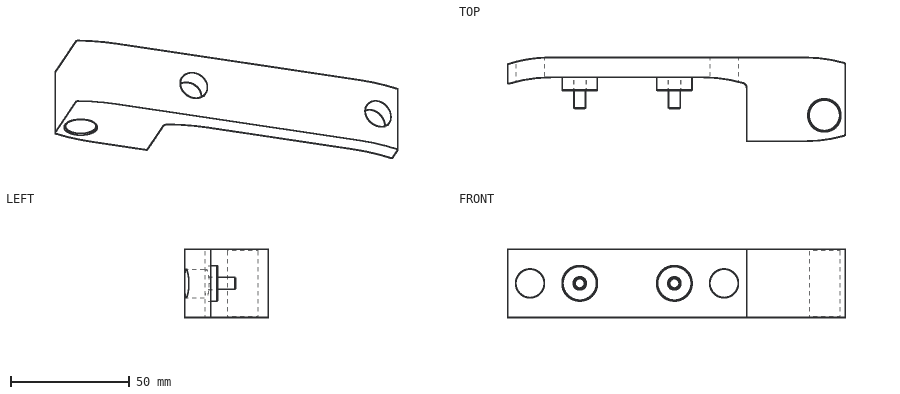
import cadquery as cq
import math


height = 29.0
total_length = 142.8
total_depth = 35.5
bar_thickness = 8.5
half_grip = 50.5
tip_x = -half_grip
wall_x = half_grip
block_end_x = tip_x + total_length
half_flat = 32.2
bend_radius = 60.0
block_bend_length = 17.0

tip_rounding = 0.5
corner_rounding = 0.5
wall_rounding = 2.0
end_rounding = 1.0

mount_hole_diameter = 12.0
mount_hole_spacing = 82.0
pivot_hole_diameter = 12.92
pivot_chamfer = 0.54
pivot_from_end = 8.9
pivot_from_bottom = 11.0

pad_spacing = 40.0
pad_diameter = 15.0
pad_thickness = 5.6
pad_hole_diameter = 5.5
pad_chamfer = 0.4
pin_diameter = 5.0
pin_length = 13.2
pin_chamfer = 0.5

pad_positions = [-pad_spacing / 2, pad_spacing / 2]


def bend_drop(run):
    """Drop of a bend at a distance run past its tangent point."""
    return bend_radius - math.sqrt(bend_radius**2 - run**2)


def bend_points(tangent_x, face_y, end_x, direction):
    """Middle and end points of a bend that starts tangent to a face along X."""
    run = end_x - tangent_x
    middle = (tangent_x + run / 2, face_y + direction * bend_drop(run / 2))
    end = (end_x, face_y + direction * bend_drop(run))
    return middle, end


def handle_blank():
    """Curved bar with the deep block at its +X end, with its upright edges rounded."""
    block_flat_x = block_end_x - block_bend_length
    outer_tip = bend_points(-half_flat, 0, tip_x, -1)
    inner_tip = bend_points(-half_flat, -bar_thickness, tip_x, -1)
    inner_wall = bend_points(half_flat, -bar_thickness, wall_x, -1)
    lower_end = bend_points(block_flat_x, -total_depth, block_end_x, 1)
    upper_end = bend_points(block_flat_x, 0, block_end_x, -1)

    blank = (
        cq.Workplane("XY", origin=(0, 0, -height / 2))
        .moveTo(-half_flat, 0)
        .threePointArc(*outer_tip)
        .lineTo(*inner_tip[1])
        .threePointArc(inner_tip[0], (-half_flat, -bar_thickness))
        .lineTo(half_flat, -bar_thickness)
        .threePointArc(*inner_wall)
        .lineTo(wall_x, -total_depth)
        .lineTo(block_flat_x, -total_depth)
        .threePointArc(*lower_end)
        .lineTo(*upper_end[1])
        .threePointArc(upper_end[0], (block_flat_x, 0))
        .close()
        .extrude(height)
    )

    roundings = [
        (outer_tip[1], tip_rounding),
        (inner_tip[1], tip_rounding),
        (inner_wall[1], wall_rounding),
        ((wall_x, -total_depth), corner_rounding),
        (lower_end[1], end_rounding),
        (upper_end[1], end_rounding),
    ]
    for corner, radius in roundings:
        blank = blank.edges(cq.NearestToPointSelector((*corner, 0))).fillet(radius)
    return blank


def mount_holes():
    """Two cylinders along Y that pass through the curved parts of the bar."""
    return (
        cq.Workplane("XZ")
        .pushPoints([(-mount_hole_spacing / 2, 0), (mount_hole_spacing / 2, 0)])
        .circle(mount_hole_diameter / 2)
        .extrude(total_depth)
    )


def pivot_hole():
    """Vertical cylinder through the block, widened by a chamfer at both ends."""
    radius = pivot_hole_diameter / 2
    mouth_radius = radius + pivot_chamfer
    top = height / 2
    neck = top - pivot_chamfer
    return (
        cq.Workplane("XZ")
        .polyline([(0, -top), (mouth_radius, -top), (radius, -neck),
                   (radius, neck), (mouth_radius, top), (0, top)])
        .close()
        .revolve(360, (0, 0), (0, 1))
        .translate((block_end_x - pivot_from_end, pivot_from_bottom - total_depth, 0))
    )


def make_pad(x):
    """Round pad on the underside of the bar, with a clearance hole for its pin."""
    return (
        cq.Workplane("XZ", origin=(x, -bar_thickness, 0))
        .circle(pad_diameter / 2)
        .extrude(pad_thickness)
        .faces("<Y")
        .chamfer(pad_chamfer)
        .cut(
            cq.Workplane("XZ", origin=(x, -bar_thickness, 0))
            .circle(pad_hole_diameter / 2)
            .extrude(pad_thickness)
        )
    )


def make_pin(x):
    """Pin standing on the underside of the bar, through the middle of a pad."""
    return (
        cq.Workplane("XZ", origin=(x, -bar_thickness, 0))
        .circle(pin_diameter / 2)
        .extrude(pin_length)
        .faces("<Y")
        .chamfer(pin_chamfer)
    )


handle = handle_blank().cut(mount_holes()).cut(pivot_hole())

pads_and_pins = []
for x in pad_positions:
    pads_and_pins.append(make_pad(x).val())
    pads_and_pins.append(make_pin(x).val())

result = cq.Compound.makeCompound([handle.val(), *pads_and_pins])